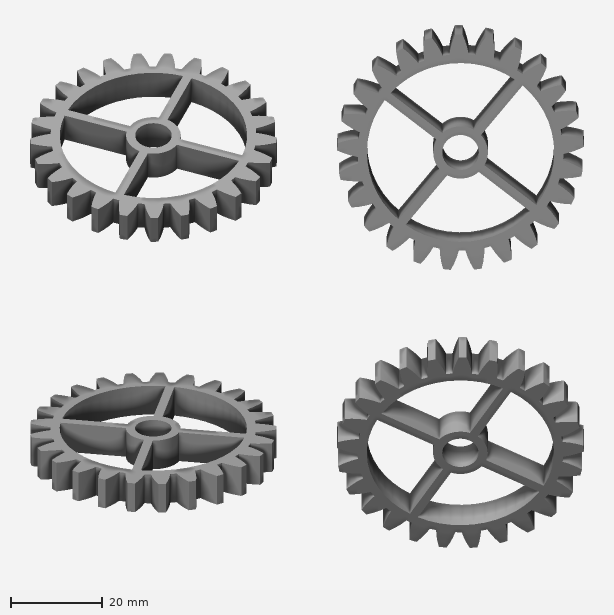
import cadquery as cq
import math

overall_width = 53.95
thickness = 7.0
tooth_count = 25
spoke_count = 4
bore_diameter = 8.0
hub_diameter = 12.0
rim_inner_diameter = 40.95
spoke_width = 2.0

tooth_pitch_angle = 360 / tooth_count
tip_half_angle = 1.8
pitch_half_angle = tooth_pitch_angle / 4
root_half_angle = 5.4

first_tooth = 90

widest_corner_angle = tooth_pitch_angle / 4 - tip_half_angle
tip_radius = overall_width / 2 / math.cos(math.radians(widest_corner_angle))

dedendum_in_modules = 1.25
module = 2 * tip_radius / (tooth_count + 2)
pitch_radius = module * tooth_count / 2
root_radius = pitch_radius - dedendum_in_modules * module


def polar_point(radius, angle):
    """Point at a radius and an angle in degrees, measured from +X."""
    return (radius * math.cos(math.radians(angle)), radius * math.sin(math.radians(angle)))


def toothed_disc():
    """Solid disc bounded by the teeth and the root arcs between them."""
    outline = cq.Workplane("XY").moveTo(*polar_point(root_radius, first_tooth - root_half_angle))
    for index in range(tooth_count):
        middle = first_tooth + index * tooth_pitch_angle
        gap_middle = middle + tooth_pitch_angle / 2
        next_start = middle + tooth_pitch_angle - root_half_angle
        outline = (
            outline
            .threePointArc(
                polar_point(pitch_radius, middle - pitch_half_angle),
                polar_point(tip_radius, middle - tip_half_angle),
            )
            .threePointArc(
                polar_point(tip_radius, middle),
                polar_point(tip_radius, middle + tip_half_angle),
            )
            .threePointArc(
                polar_point(pitch_radius, middle + pitch_half_angle),
                polar_point(root_radius, middle + root_half_angle),
            )
            .threePointArc(
                polar_point(root_radius, gap_middle),
                polar_point(root_radius, next_start),
            )
        )
    return outline.close().extrude(thickness)


def cylinder(diameter):
    """Full-thickness cylinder on the gear axis."""
    return cq.Workplane("XY").circle(diameter / 2).extrude(thickness)


def spokes():
    """Straight spokes from the gear axis to the middle of the rim."""
    spoke_length = (rim_inner_diameter / 2 + root_radius) / 2
    spoke = cq.Workplane("XY").box(spoke_length, spoke_width, thickness, centered=(False, True, False))
    group = spoke
    for index in range(1, spoke_count):
        group = group.union(spoke.rotate((0, 0, 0), (0, 0, 1), index * 360 / spoke_count))
    return group


rim = toothed_disc().cut(cylinder(rim_inner_diameter))
result = rim.union(spokes()).union(cylinder(hub_diameter)).cut(cylinder(bore_diameter))